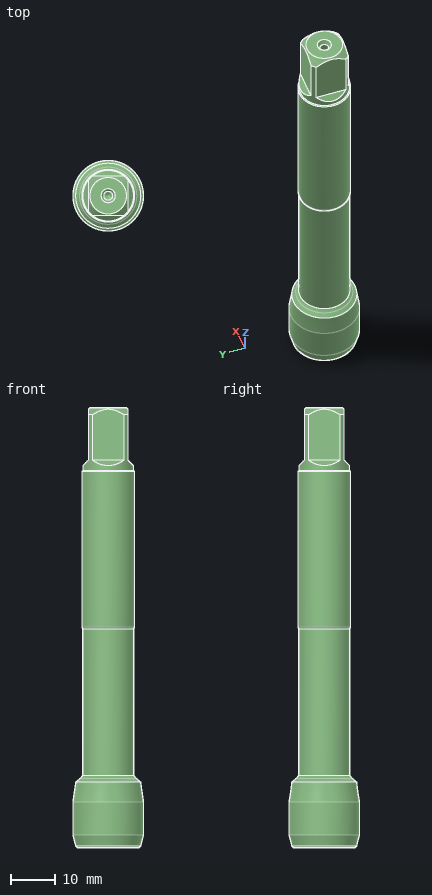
import cadquery as cq
import math

length = 100.0
shaft_radius = 11.7 / 2
neck_radius = 11.5 / 2

head_radius = 16.1 / 2
foot_radius = 7.4
foot_chamfer = 0.4
head_straight_bottom = 2.9
head_straight_top = 10.4
shoulder_radius = 7.4
shoulder_height = 14.9
blend_outer_radius = 6.5
blend_outer_height = 15.7
blend_top = 16.4

sleeve_radius = 12.0 / 2
sleeve_bottom = 49.7
sleeve_top = 85.7
sleeve_bottom_chamfer_height = 0.5
sleeve_top_chamfer_height = 0.2

square_width = 9.0
square_bottom = 88.1
tip_chamfer = 1.6

hole_radius = 2.0 / 2
countersink_radius = 3.2 / 2
countersink_angle = 60.0
hole_depth = 3.0
drill_point_angle = 118.0


def cone_height(radius_change, included_angle):
    return radius_change / math.tan(math.radians(included_angle / 2))


def turned_shaft():
    """Socket head, shaft and neck as one turned shape."""
    return (
        cq.Workplane("XZ")
        .lineTo(foot_radius - foot_chamfer, 0)
        .lineTo(foot_radius, foot_chamfer)
        .lineTo(head_radius, head_straight_bottom)
        .lineTo(head_radius, head_straight_top)
        .lineTo(shoulder_radius, shoulder_height)
        .lineTo(blend_outer_radius, blend_outer_height)
        .tangentArcPoint((shaft_radius, blend_top), relative=False)
        .lineTo(shaft_radius, sleeve_bottom)
        .lineTo(neck_radius, sleeve_bottom)
        .lineTo(neck_radius, length - tip_chamfer)
        .lineTo(neck_radius - tip_chamfer, length)
        .lineTo(0, length)
        .close()
        .revolve(360, (0, 0), (0, 1))
    )


def flat_cutter():
    """Material removed for one flat on the +X side, ending in a 45 degree ramp."""
    flat = square_width / 2
    clearance = 1.0
    outer = neck_radius + clearance
    return (
        cq.Workplane("XZ")
        .moveTo(flat, square_bottom)
        .lineTo(outer, square_bottom - (outer - flat))
        .lineTo(outer, length + clearance)
        .lineTo(flat, length + clearance)
        .close()
        .extrude(outer, both=True)
    )


def centre_hole():
    """Countersunk blind hole with a drill point."""
    countersink_depth = cone_height(countersink_radius - hole_radius, countersink_angle)
    point_height = cone_height(hole_radius, drill_point_angle)
    return (
        cq.Workplane("XZ")
        .moveTo(0, length)
        .lineTo(countersink_radius, length)
        .lineTo(hole_radius, length - countersink_depth)
        .lineTo(hole_radius, length - hole_depth)
        .lineTo(0, length - hole_depth - point_height)
        .close()
        .revolve(360, (0, 0), (0, 1))
    )


def make_extension_bar():
    bar = turned_shaft()
    flat_count = 4
    for index in range(flat_count):
        angle = index * 360 / flat_count
        bar = bar.cut(flat_cutter().rotate((0, 0, 0), (0, 0, 1), angle))
    return bar.cut(centre_hole())


def make_grip_sleeve():
    """Thin sleeve resting on the shaft shoulder, tapered at both ends to meet the bar."""
    return (
        cq.Workplane("XZ")
        .moveTo(neck_radius, sleeve_bottom)
        .lineTo(shaft_radius, sleeve_bottom)
        .lineTo(sleeve_radius, sleeve_bottom + sleeve_bottom_chamfer_height)
        .lineTo(sleeve_radius, sleeve_top - sleeve_top_chamfer_height)
        .lineTo(neck_radius, sleeve_top)
        .close()
        .revolve(360, (0, 0), (0, 1))
    )


extension_bar = make_extension_bar()
grip_sleeve = make_grip_sleeve()

result = cq.Compound.makeCompound([extension_bar.val(), grip_sleeve.val()])